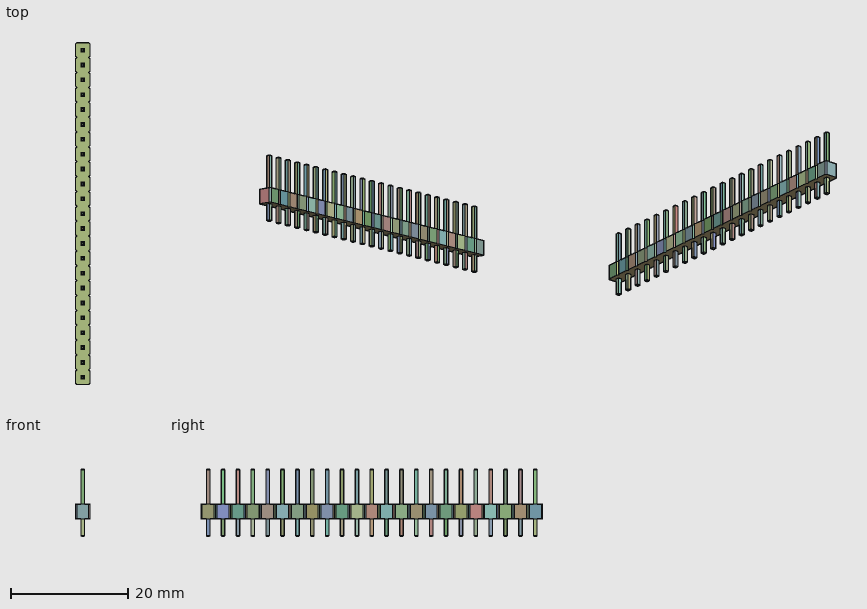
import cadquery as cq

pin_count = 23
pitch = 2.54
row_length = pin_count * pitch

body_width = pitch
body_height = pitch
corner_chamfer = 0.25

pin_size = 0.64
pin_above = 6.0
pin_below = 3.0
pin_length = pin_below + body_height + pin_above
tip_chamfer = 0.15


def pin_positions():
    """Y centre of every pin, with the row centred on the origin."""
    first = -row_length / 2 + pitch / 2
    return [first + index * pitch for index in range(pin_count)]


def body_cell(y):
    """One insulator block with its vertical corners chamfered."""
    cell = cq.Workplane("XY").box(body_width, pitch, body_height, centered=(True, True, False))
    return cell.edges("|Z").chamfer(corner_chamfer).translate((0, y, 0))


def pin(y):
    """One square pin running through the body, chamfered at both tips."""
    post = cq.Workplane("XY").box(pin_size, pin_size, pin_length, centered=(True, True, False))
    post = post.faces("<Z or >Z").chamfer(tip_chamfer)
    return post.translate((0, y, -pin_below))


result = cq.Workplane("XY")
for y in pin_positions():
    result = result.union(body_cell(y)).union(pin(y))